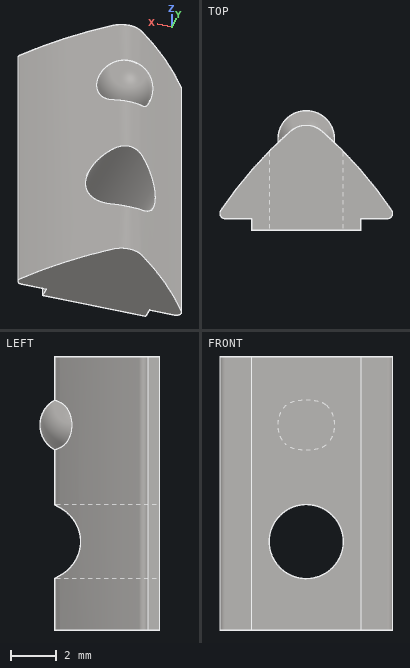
import cadquery as cq
import math

length = 12.0
total_depth = 5.25

base_width = 4.8
base_height = 0.5
corner_half_width = 4.0
peak_height = 4.92
flank_radius = 18.0
wing_fillet = 0.24
peak_fillet = 1.05

hole_diameter = 3.24
hole_z = 3.89
ball_radius = 1.25
ball_z = 9.0
ball_y = total_depth - ball_radius


def flank_midpoint():
    """Middle of the convex right flank, between the wing corner and the peak."""
    rise = peak_height - base_height
    chord = math.hypot(corner_half_width, rise)
    bulge = flank_radius - math.sqrt(flank_radius**2 - (chord / 2)**2)
    x = corner_half_width / 2 + bulge * rise / chord
    y = (peak_height + base_height) / 2 + bulge * corner_half_width / chord
    return x, y


def make_body():
    """Triangular wing with convex flanks and rounded corners, on a narrower base."""
    mid_x, mid_y = flank_midpoint()
    wing = (
        cq.Workplane("XY")
        .moveTo(-corner_half_width, base_height)
        .lineTo(corner_half_width, base_height)
        .threePointArc((mid_x, mid_y), (0, peak_height))
        .threePointArc((-mid_x, mid_y), (-corner_half_width, base_height))
        .close()
        .extrude(length)
    )
    wing = wing.edges("|Z").edges(">Y").fillet(peak_fillet)
    wing = wing.edges("|Z").edges("<X or >X").fillet(wing_fillet)
    base = cq.Workplane("XY").box(base_width, base_height, length, centered=(True, False, False))
    return wing.union(base)


def make_hole():
    """Round bore running through the full depth along Y."""
    return (
        cq.Workplane("XZ", origin=(0, total_depth, hole_z))
        .circle(hole_diameter / 2)
        .extrude(total_depth)
    )


ball = cq.Workplane("XY", origin=(0, ball_y, ball_z)).sphere(ball_radius)

result = make_body().union(ball).cut(make_hole())